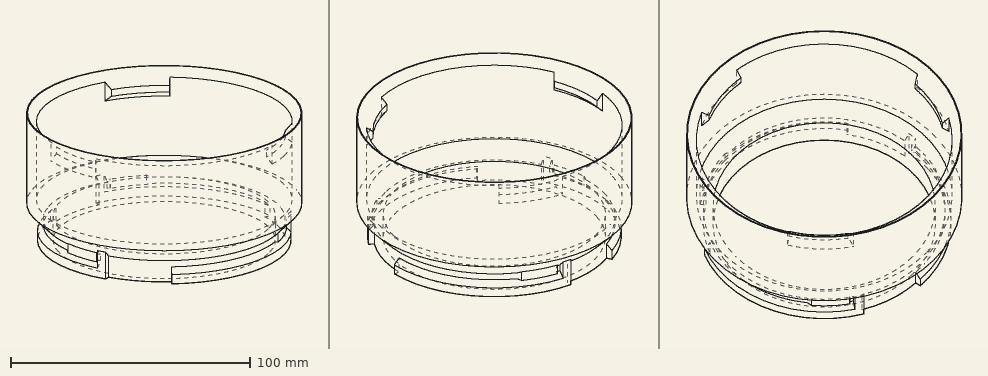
import cadquery as cq
import math

body_radius = 57.5
total_height = 56.5
body_height = 40.0
bore_radius = 53.4
neck_radius = 50.5
mouth_radius = 46.4
rim_width = 0.4
bore_cone_end_height = 11.0

body_base = total_height - body_height
neck_top = body_base - (body_radius - neck_radius)
bore_floor = bore_cone_end_height + bore_radius - mouth_radius
rim_inner_radius = body_radius - rim_width

repeat_count = 3
repeat_angle = 360 / repeat_count

flange_radius = 53.0
flange_edge_height = 4.2
flange_top = flange_edge_height + flange_radius - neck_radius
stop_start_angle = 45.8
stop_end_angle = 50.1
stop_height = 12.0
flange_start_angle = -39.0

bump_radius = 51.15
bump_ramp_start_angle = 23.9
bump_ramp_end_angle = 25.85
bump_end_angle = 43.9
bump_bottom = flange_edge_height + flange_radius - bump_radius
bump_top = neck_top + bump_radius - neck_radius

tab_radius = 50.7
tab_start_angle = 15.1
tab_ramp_start_angle = 43.4
tab_end_angle = 45.2
tab_face_height = 3.0
tab_top = total_height - (rim_inner_radius - tab_radius)
tab_face_bottom = tab_top - tab_face_height
tab_bottom = tab_face_bottom - (bore_radius - tab_radius)

root_overlap = 1.0


def polar(radius, angle):
    """Point in the XY plane at a radius and an angle in degrees."""
    return (radius * math.cos(math.radians(angle)), radius * math.sin(math.radians(angle)))


def revolve_profile(points, start_angle=0.0, end_angle=360.0):
    """Revolve a (radius, height) outline about Z between two angles."""
    sweep = end_angle - start_angle
    solid = cq.Workplane("XZ").polyline(points).close().revolve(sweep, (0, 0, 0), (0, -1, 0))
    return solid.rotate((0, 0, 0), (0, 0, 1), end_angle)


def repeat_around(feature):
    """Copies of a feature spaced evenly about Z."""
    return [feature.rotate((0, 0, 0), (0, 0, 1), i * repeat_angle) for i in range(repeat_count)]


def make_body():
    """Turned shell with a straight bore up to its top; the rim cone is cut later."""
    return revolve_profile([
        (mouth_radius, 0),
        (neck_radius, 0),
        (neck_radius, neck_top),
        (body_radius, body_base),
        (body_radius, total_height),
        (bore_radius, total_height),
        (bore_radius, bore_floor),
        (mouth_radius, bore_cone_end_height),
    ])


def make_flange_segment():
    """Flange with a conical upper face, from its free end to the stop."""
    root_radius = neck_radius - root_overlap
    profile = [
        (root_radius, 0),
        (flange_radius, 0),
        (flange_radius, flange_edge_height),
        (neck_radius, flange_top),
        (root_radius, flange_top),
    ]
    return revolve_profile(profile, flange_start_angle, stop_start_angle)


def make_stop():
    """Upright block that closes one end of a flange segment."""
    root_radius = neck_radius - root_overlap
    profile = [
        (root_radius, 0),
        (flange_radius, 0),
        (flange_radius, stop_height),
        (root_radius, stop_height),
    ]
    return revolve_profile(profile, stop_start_angle, stop_end_angle)


def ramped_sector(base_radius, crest_radius, ramp_base_angle, ramp_crest_angle, square_angle, bottom, top):
    """Upright block with a curved crest, one ramped end and one square end.

    The root of the block lies one overlap beyond base_radius, inside the wall it stands on.
    """
    outward = 1 if crest_radius > base_radius else -1
    root_radius = base_radius - outward * root_overlap
    middle_angle = (ramp_crest_angle + square_angle) / 2
    outline = (
        cq.Workplane("XY", origin=(0, 0, bottom))
        .moveTo(*polar(root_radius, ramp_base_angle))
        .lineTo(*polar(base_radius, ramp_base_angle))
        .lineTo(*polar(crest_radius, ramp_crest_angle))
        .threePointArc(polar(crest_radius, middle_angle), polar(crest_radius, square_angle))
        .lineTo(*polar(root_radius, square_angle))
        .threePointArc(polar(root_radius, middle_angle), polar(root_radius, ramp_base_angle))
        .close()
    )
    return outline.extrude(top - bottom)


def make_bump():
    """Detent bump whose lower and upper ends run into the flange and the body cone."""
    return ramped_sector(
        neck_radius,
        bump_radius,
        bump_ramp_start_angle,
        bump_ramp_end_angle,
        bump_end_angle,
        bump_bottom - root_overlap,
        bump_top + root_overlap,
    )


def make_tab():
    """Locking tab up to the top of the part, with its underside sloping into the bore."""
    block = ramped_sector(
        bore_radius,
        tab_radius,
        tab_end_angle,
        tab_ramp_start_angle,
        tab_start_angle,
        tab_bottom - root_overlap,
        total_height,
    )
    underside = revolve_profile([
        (tab_radius - root_overlap, tab_face_bottom + root_overlap),
        (bore_radius + root_overlap, tab_bottom - root_overlap),
        (tab_radius - root_overlap, tab_bottom - root_overlap),
    ])
    return block.cut(underside)


def make_rim_cone():
    """Conical lead-in that trims the bore and the tops of the tabs."""
    return revolve_profile([
        (0, total_height),
        (rim_inner_radius, total_height),
        (0, total_height - rim_inner_radius),
    ])


result = make_body()
for feature in (make_flange_segment(), make_stop(), make_bump(), make_tab()):
    for copy in repeat_around(feature):
        result = result.union(copy)
result = result.cut(make_rim_cone())